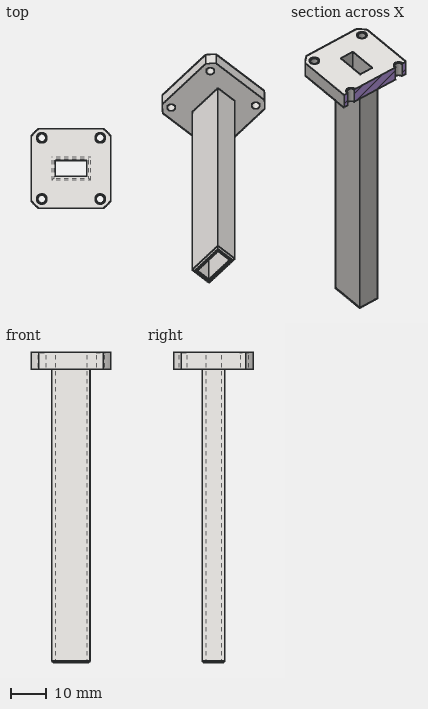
import cadquery as cq

total_length = 86.4
flange_side = 22.2
flange_thickness = 4.75
corner_turning_diameter = 28.6

tube_width = 10.7
tube_depth = 6.4
tube_end_chamfer = 0.5
bore_width = 8.6
bore_depth = 4.3

hole_spacing_x = 16.2
hole_spacing_y = 17.0
hole_diameter = 2.25
hole_mouth_diameter = 2.85
countersink_angle = 120.0

flange_bottom = total_length - flange_thickness


def upright_block(width, depth, height, base_z):
    """Rectangular block centred on the Z axis."""
    return cq.Workplane("XY").workplane(offset=base_z).rect(width, depth).extrude(height)


def make_flange():
    """Square plate with rounded-off corners and four countersunk holes."""
    plate = upright_block(flange_side, flange_side, flange_thickness, flange_bottom)
    turned_envelope = (
        cq.Workplane("XY")
        .workplane(offset=flange_bottom)
        .circle(corner_turning_diameter / 2)
        .extrude(flange_thickness)
    )
    return (
        plate.intersect(turned_envelope)
        .faces(">Z")
        .workplane(origin=(0, 0, total_length))
        .rect(hole_spacing_x, hole_spacing_y, forConstruction=True)
        .vertices()
        .cskHole(hole_diameter, hole_mouth_diameter, countersink_angle)
    )


tube = upright_block(tube_width, tube_depth, flange_bottom, 0)
tube = tube.faces("<Z").edges().chamfer(tube_end_chamfer)
bore = upright_block(bore_width, bore_depth, total_length, 0)

result = tube.union(make_flange()).cut(bore)